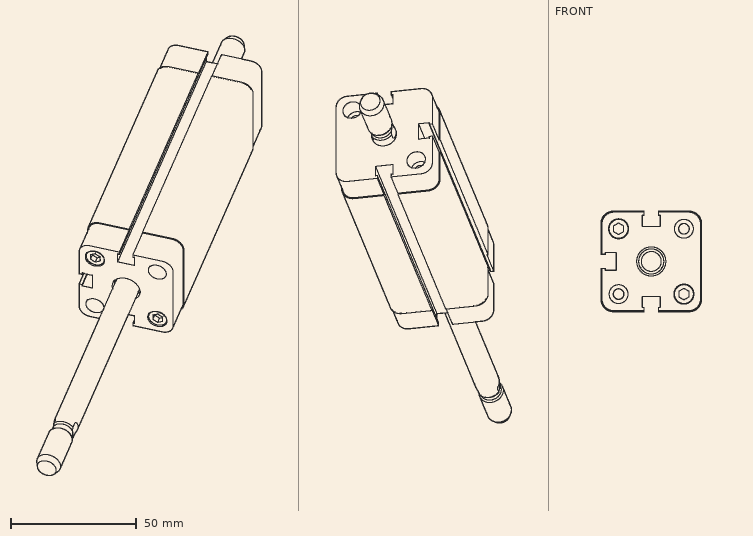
import cadquery as cq
import math


barrel_width = 40.1
barrel_length = 93.6
cap_width = 39.2
cap_length = 13.2
corner_centre = 15.0
body_length = barrel_length + 2 * cap_length

slot_mouth_width = 5.6
slot_inner_width = 7.0
slot_floor = 14.0
slot_lip = 18.3

hole_offset = 13.0
hole_diameter = 4.13
counterbore_diameter = 7.5
counterbore_depth = 8.0
screw_pocket_diameter = 8.0
screw_head_diameter = 7.5
screw_pocket_depth = 5.0
screw_recess = 0.5
hex_across_flats = 4.0
hex_sides = 6
hex_across_corners = hex_across_flats / math.cos(math.pi / hex_sides)
hex_depth = 2.5
socket_turn = 30.0

rod_diameter = 10.0
rod_bore_diameter = 11.6
rod_bore_depth = 3.0
rear_extension = 27.1
front_extension = 107.4
tip_diameter = 7.9
tip_length = 2.6
thread_length = 18.6
groove_diameter = 8.6
groove_length = 3.9
groove_chamfer = (rod_diameter - groove_diameter) / 2
flat_across = 8.0
flat_length = 2.4
flat_cutter_radius = 1.5

front_face = -body_length / 2
rear_face = body_length / 2
front_tip = front_face - front_extension
rear_tip = rear_face + rear_extension


def plane_at(y):
    """Plane across the rod axis, local x = X, local y = Z, normal = -Y."""
    return cq.Workplane("XZ", origin=(0, y, 0))


def rounded_block(width, y_start, y_end):
    """Square bar along Y whose corner arcs share the same centres."""
    return (
        plane_at(y_end)
        .rect(width, width)
        .extrude(y_end - y_start)
        .edges("|Y")
        .fillet(width / 2 - corner_centre)
    )


def make_body():
    barrel = rounded_block(barrel_width, front_face + cap_length, rear_face - cap_length)
    return barrel.union(rounded_block(cap_width, front_face, rear_face))


def t_slot(angle):
    """T-slot cutter in the +Z side, turned about Y by the angle."""
    neck_height = barrel_width / 2 - slot_floor
    neck = (
        plane_at(rear_face)
        .center(0, slot_floor + neck_height / 2)
        .rect(slot_mouth_width, neck_height)
        .extrude(body_length)
    )
    inner_height = slot_lip - slot_floor
    inner = (
        plane_at(rear_face)
        .center(0, slot_floor + inner_height / 2)
        .rect(slot_inner_width, inner_height)
        .extrude(body_length)
    )
    return neck.union(inner).rotate((0, 0, 0), (0, 1, 0), angle)


def cylinder(diameter, y_start, y_end, x=0, z=0):
    return plane_at(y_end).center(x, z).circle(diameter / 2).extrude(y_end - y_start)


def cut_mounting_hole(body, x, z):
    """Through hole counterbored from both ends."""
    body = body.cut(cylinder(hole_diameter, front_face, rear_face, x, z))
    body = body.cut(cylinder(counterbore_diameter, front_face, front_face + counterbore_depth, x, z))
    return body.cut(cylinder(counterbore_diameter, rear_face - counterbore_depth, rear_face, x, z))


def add_cap_screw(body, x, z):
    """Socket-head screw sunk into the front cap."""
    pocket_floor = front_face + screw_pocket_depth
    head_face = front_face + screw_recess
    head = cylinder(screw_head_diameter, head_face, pocket_floor, x, z)
    socket = (
        plane_at(head_face + hex_depth)
        .center(x, z)
        .transformed(rotate=(0, 0, socket_turn))
        .polygon(hex_sides, hex_across_corners)
        .extrude(hex_depth)
    )
    pocket = cylinder(screw_pocket_diameter, front_face, pocket_floor, x, z)
    return body.cut(pocket).union(head.cut(socket))


def rod_end_cutters():
    """Tip chamfer, thread relief and two wrench flats.

    Shapes removed at a rod end whose tip lies at y = 0, the rod running toward +Y.
    """
    outer = rod_diameter / 2
    groove = groove_diameter / 2
    groove_end = thread_length + groove_length
    tip_chamfer = (
        cq.Workplane("XY")
        .polyline([(tip_diameter / 2, 0), (outer, 0), (outer, tip_length)])
        .close()
        .revolve(360, (0, 0), (0, 1))
    )
    neck = (
        cq.Workplane("XY")
        .polyline([
            (outer, thread_length),
            (groove, thread_length + groove_chamfer),
            (groove, groove_end - groove_chamfer),
            (outer, groove_end),
        ])
        .close()
        .revolve(360, (0, 0), (0, 1))
    )
    flat = flat_across / 2
    flat_start = groove_end - groove_chamfer
    arc_start = groove_end + flat_length
    arc_middle = flat_cutter_radius * math.sin(math.pi / 4)
    arc_end = (flat + flat_cutter_radius, arc_start + flat_cutter_radius)
    wrench_flat = (
        cq.Workplane("XY")
        .moveTo(flat + flat_cutter_radius, flat_start)
        .lineTo(flat, flat_start)
        .lineTo(flat, arc_start)
        .threePointArc((arc_end[0] - arc_middle, arc_start + arc_middle), arc_end)
        .close()
        .extrude(rod_diameter, both=True)
    )
    return [tip_chamfer, neck, wrench_flat, wrench_flat.mirror("YZ")]


def make_rod():
    rod = cylinder(rod_diameter, front_tip, rear_tip)
    for cutter in rod_end_cutters():
        rod = rod.cut(cutter.translate((0, front_tip, 0)))
        rod = rod.cut(cutter.mirror("XZ").translate((0, rear_tip, 0)))
    return rod


body = make_body()
for slot_angle in (0, 180, -90):
    body = body.cut(t_slot(slot_angle))
for side in (-1, 1):
    body = cut_mounting_hole(body, side * hole_offset, side * hole_offset)
    body = add_cap_screw(body, side * hole_offset, -side * hole_offset)
body = body.cut(cylinder(rod_bore_diameter, front_face, front_face + rod_bore_depth))

result = body.union(make_rod())